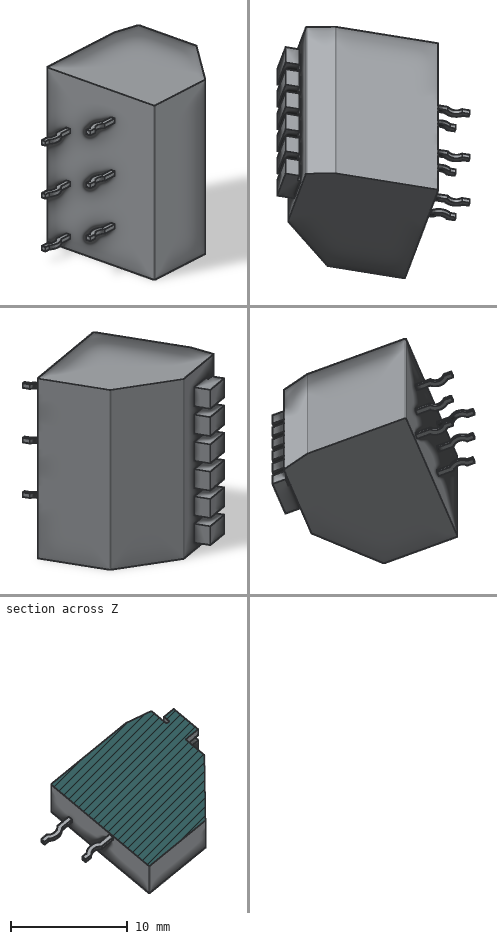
import cadquery as cq
import math

HEIGHT = 16.5
WIDTH = 12.0
DEPTH = 11.5
LEFT_BEVEL_X = 0.65
LEFT_BEVEL_Y = 2.45
RIGHT_BEVEL_X = 4.9
RIGHT_BEVEL_Y = 4.7
EDGE_RADIUS = 0.1

POLES = 6
POLE_SPAN = 12.5
POLE_PITCH = POLE_SPAN / (POLES - 1)

BUTTON_LEFT = -WIDTH / 2 + 1.83
BUTTON_WIDTH = 3.0
BUTTON_RISE = 1.5
BUTTON_HEIGHT = 1.73
FIRST_BUTTON_BOTTOM = 0.7
LIP_OVERHANG = 0.65
LIP_GAP = 0.3

PIN_THICKNESS = 0.41
PIN_LENGTH = 3.3
LEFT_ROW_X = -WIDTH / 2 + 2.41
ROW_SPACING = 4.98
FIRST_PIN_Z = 1.25
KINK_TO_TIP = 1.3
KINK_BULGE = 0.3
KINK_OUTER_RADIUS = 1.22
KINK_INNER_RADIUS = KINK_OUTER_RADIUS - PIN_THICKNESS


def make_housing():
    left = -WIDTH / 2
    right = WIDTH / 2
    outline = [
        (left, 0),
        (right, 0),
        (right, DEPTH - RIGHT_BEVEL_Y),
        (right - RIGHT_BEVEL_X, DEPTH),
        (left + LEFT_BEVEL_X, DEPTH),
        (left, DEPTH - LEFT_BEVEL_Y),
    ]
    prism = cq.Workplane("XY").polyline(outline).close().extrude(HEIGHT)
    return prism.edges("|Z").fillet(EDGE_RADIUS)


def make_button(bottom):
    """Button with a lip that overhangs a narrow gap on its -X side."""
    right = BUTTON_LEFT + BUTTON_WIDTH
    stem_left = BUTTON_LEFT + LIP_OVERHANG
    top = DEPTH + BUTTON_RISE
    outline = [
        (stem_left, DEPTH),
        (right, DEPTH),
        (right, top),
        (BUTTON_LEFT, top),
        (BUTTON_LEFT, DEPTH + LIP_GAP),
        (stem_left, DEPTH + LIP_GAP),
    ]
    plane = cq.Workplane("XY").workplane(offset=bottom)
    return plane.polyline(outline).close().extrude(BUTTON_HEIGHT)


def make_pin(x, z, side):
    """Square pin whose kink bulges toward side (+1 is +X, -1 is -X)."""
    half = PIN_THICKNESS / 2
    kink_y = KINK_TO_TIP - PIN_LENGTH
    arc_centre = half + KINK_BULGE - KINK_OUTER_RADIUS
    outer_reach = math.sqrt(KINK_OUTER_RADIUS**2 - (half - arc_centre)**2)
    inner_reach = math.sqrt(KINK_INNER_RADIUS**2 - (-half - arc_centre)**2)
    outer_x = x + side * half
    inner_x = x - side * half
    outer_peak = (x + side * (arc_centre + KINK_OUTER_RADIUS), kink_y)
    inner_peak = (x + side * (arc_centre + KINK_INNER_RADIUS), kink_y)
    return (
        cq.Workplane("XY")
        .workplane(offset=z - half)
        .moveTo(outer_x, 0)
        .lineTo(outer_x, kink_y + outer_reach)
        .threePointArc(outer_peak, (outer_x, kink_y - outer_reach))
        .lineTo(outer_x, -PIN_LENGTH)
        .lineTo(inner_x, -PIN_LENGTH)
        .lineTo(inner_x, kink_y - inner_reach)
        .threePointArc(inner_peak, (inner_x, kink_y + inner_reach))
        .lineTo(inner_x, 0)
        .close()
        .extrude(PIN_THICKNESS)
    )


result = make_housing()
for pole in range(POLES):
    pole_z = pole * POLE_PITCH
    result = result.union(make_button(FIRST_BUTTON_BOTTOM + pole_z))
    row = pole % 2
    pin_x = LEFT_ROW_X + row * ROW_SPACING
    kink_side = 1 - 2 * row
    result = result.union(make_pin(pin_x, FIRST_PIN_Z + pole_z, kink_side))